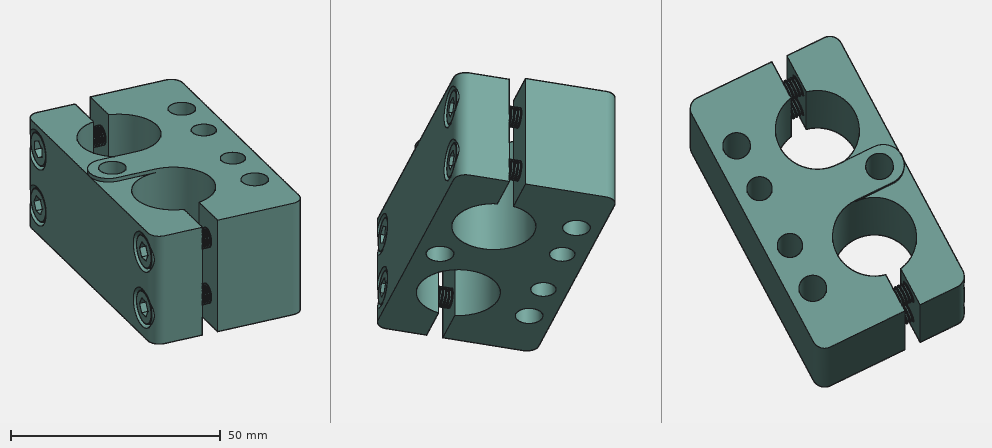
import cadquery as cq
import math


LENGTH = 70.0
DEPTH = 40.0
HEIGHT = 30.0
CORNER_RADIUS = 3.0

BORE_DIAMETER = 20.0
TONGUE_WIDTH = 10.0
BORE_X = (BORE_DIAMETER + TONGUE_WIDTH) / 2
BORE_Y = 15.0
STEP_DEPTH = 1.0

GAP_WIDTH = 4.0
GAP_Y = BORE_Y

TONGUE_HOLE_DIAMETER = 6.6
TONGUE_HOLE_Y = 6.0
BACK_HOLES_Y = 34.0
INNER_HOLE_DIAMETER = 6.0
INNER_HOLE_X = 8.0
OUTER_HOLE_DIAMETER = 6.6
OUTER_HOLE_X = 20.0

SCREW_INSET = 6.0
SCREW_X = LENGTH / 2 - SCREW_INSET
LOWER_SCREW_Z = 7.5
UPPER_SCREW_Z = HEIGHT - LOWER_SCREW_Z
HEAD_DIAMETER = 8.5
HEAD_FACE_DIAMETER = 8.0
HEAD_CHAMFER_HEIGHT = 0.15
HEAD_HEIGHT = 5.0
HEAD_RECESS = 0.35
THREAD_DIAMETER = 5.0
CORE_DIAMETER = 4.2
PITCHES_IN_GAP = 5
PITCH = GAP_WIDTH / PITCHES_IN_GAP
RIDGES_EACH_SIDE = 12
SHANK_LENGTH = 20.0
RIDGE_CREST_WIDTH = 0.245
RIDGE_BASE_WIDTH = 0.4
SOCKET_WIDTH = 4.0
SOCKET_DEPTH = 2.5
SOCKET_CONE_ANGLE = 120.0

COUNTERBORE_DIAMETER = 10.0
COUNTERBORE_DEPTH = HEAD_RECESS + HEAD_HEIGHT
SCREW_HOLE_END_Y = COUNTERBORE_DEPTH + SHANK_LENGTH
CLEARANCE_DIAMETER = 5.5

SCREW_PLACES = [
    (-SCREW_X, LOWER_SCREW_Z, 0.0),
    (-SCREW_X, UPPER_SCREW_Z, 27.0),
    (SCREW_X, LOWER_SCREW_Z, 0.0),
    (SCREW_X, UPPER_SCREW_Z, 0.0),
]


def upright_cylinders(diameter, centres):
    """Cylinders through the full height of the block."""
    return cq.Workplane("XY").pushPoints(centres).circle(diameter / 2).extrude(HEIGHT)


def screw_axis_cylinder(diameter, x, z, start_y, end_y):
    """A cylinder running backwards along a screw axis."""
    plane = cq.Plane(origin=(x, start_y, z), xDir=(1, 0, 0), normal=(0, 1, 0))
    return cq.Workplane(plane).circle(diameter / 2).extrude(end_y - start_y)


def make_blank():
    """The plain block with rounded upright corners."""
    blank = cq.Workplane("XY").box(LENGTH, DEPTH, HEIGHT, centered=(True, False, False))
    return blank.edges("|Z").fillet(CORNER_RADIUS)


def make_gaps():
    """One slot from each end face into the bore next to it."""
    slot_length = LENGTH / 2 - BORE_X
    slot_x = (LENGTH / 2 + BORE_X) / 2
    slots = cq.Workplane("XY").pushPoints([(-slot_x, GAP_Y), (slot_x, GAP_Y)])
    return slots.rect(slot_length, GAP_WIDTH).extrude(HEIGHT)


def make_step():
    """The shallow layer removed from the front half, around a round-ended tongue."""
    layer = cq.Workplane("XY", origin=(0, 0, HEIGHT - STEP_DEPTH))
    front_half = layer.rect(LENGTH, 2 * BORE_Y).extrude(STEP_DEPTH)
    tongue_radius = TONGUE_WIDTH / 2
    tongue = (
        layer.moveTo(-tongue_radius, BORE_Y)
        .lineTo(-tongue_radius, tongue_radius)
        .threePointArc((0, 0), (tongue_radius, tongue_radius))
        .lineTo(tongue_radius, BORE_Y)
        .close()
        .extrude(STEP_DEPTH)
    )
    return front_half.cut(tongue)


def make_block():
    block = make_blank()
    block = block.cut(upright_cylinders(BORE_DIAMETER, [(-BORE_X, BORE_Y), (BORE_X, BORE_Y)]))
    block = block.cut(make_gaps())
    block = block.cut(make_step())

    inner_holes = [(-INNER_HOLE_X, BACK_HOLES_Y), (INNER_HOLE_X, BACK_HOLES_Y)]
    outer_holes = [(-OUTER_HOLE_X, BACK_HOLES_Y), (OUTER_HOLE_X, BACK_HOLES_Y)]
    block = block.cut(upright_cylinders(INNER_HOLE_DIAMETER, inner_holes))
    block = block.cut(upright_cylinders(OUTER_HOLE_DIAMETER, outer_holes))
    block = block.cut(upright_cylinders(TONGUE_HOLE_DIAMETER, [(0, TONGUE_HOLE_Y)]))

    for x, z, _ in SCREW_PLACES:
        block = block.cut(screw_axis_cylinder(COUNTERBORE_DIAMETER, x, z, 0, COUNTERBORE_DEPTH))
        block = block.cut(screw_axis_cylinder(CLEARANCE_DIAMETER, x, z, COUNTERBORE_DEPTH, GAP_Y))
        block = block.cut(screw_axis_cylinder(THREAD_DIAMETER, x, z, GAP_Y, SCREW_HOLE_END_Y))
    return block


def make_socket():
    """Hexagon socket with a conical bottom, opening at the head face."""
    corner_diameter = SOCKET_WIDTH / math.cos(math.radians(30))
    cone_depth = SOCKET_WIDTH / 2 / math.tan(math.radians(SOCKET_CONE_ANGLE / 2))
    hexagon = cq.Workplane("XZ").polygon(6, corner_diameter).extrude(-SOCKET_DEPTH)
    cone = (
        cq.Workplane("XY")
        .moveTo(0, SOCKET_DEPTH)
        .lineTo(SOCKET_WIDTH / 2, SOCKET_DEPTH)
        .lineTo(0, SOCKET_DEPTH + cone_depth)
        .close()
        .revolve(360, (0, 0, 0), (0, 1, 0))
    )
    return hexagon.union(cone)


def make_screw():
    """Socket-head screw along +Y with its head face at the origin and ring-shaped thread ridges."""
    head_radius = HEAD_DIAMETER / 2
    face_radius = HEAD_FACE_DIAMETER / 2
    core_radius = CORE_DIAMETER / 2
    crest_radius = THREAD_DIAMETER / 2
    tip_y = HEAD_HEIGHT + SHANK_LENGTH

    outline = [
        (0, 0),
        (face_radius, 0),
        (head_radius, HEAD_CHAMFER_HEIGHT),
        (head_radius, HEAD_HEIGHT),
        (core_radius, HEAD_HEIGHT),
    ]
    for ridge in range(-RIDGES_EACH_SIDE, RIDGES_EACH_SIDE):
        ridge_y = GAP_Y - HEAD_RECESS + (ridge + 0.5) * PITCH
        outline += [
            (core_radius, ridge_y - RIDGE_BASE_WIDTH / 2),
            (crest_radius, ridge_y - RIDGE_CREST_WIDTH / 2),
            (crest_radius, ridge_y + RIDGE_CREST_WIDTH / 2),
            (core_radius, ridge_y + RIDGE_BASE_WIDTH / 2),
        ]
    outline += [(core_radius, tip_y), (0, tip_y)]

    body = cq.Workplane("XY").polyline(outline).close().revolve(360, (0, 0, 0), (0, 1, 0))
    return body.cut(make_socket())


block = make_block()

screw = make_screw()
screws = []
for x, z, turn in SCREW_PLACES:
    turned = screw.rotate((0, 0, 0), (0, 1, 0), -turn)
    screws.append(turned.translate((x, HEAD_RECESS, z)).val())

result = cq.Compound.makeCompound([block.val(), *screws])